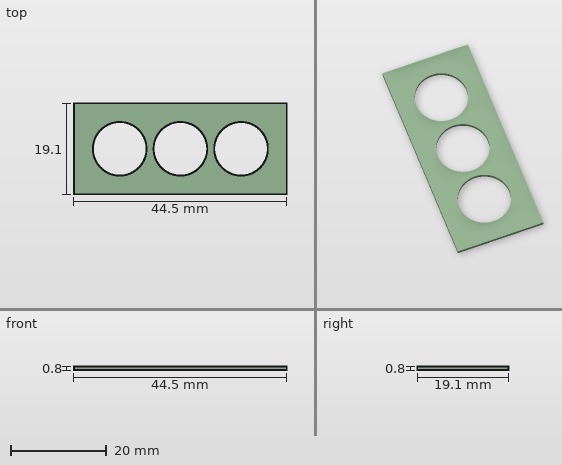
import cadquery as cq

length = 44.45
width = 19.05
thickness = 0.8

hole_diameter = 11.15
hole_pitch = 12.65
hole_count = 3

plate = cq.Workplane("XY").box(length, width, thickness)

result = (
    plate.faces(">Z")
    .workplane()
    .rarray(hole_pitch, 0.45, hole_count, 1)
    .hole(hole_diameter)
)